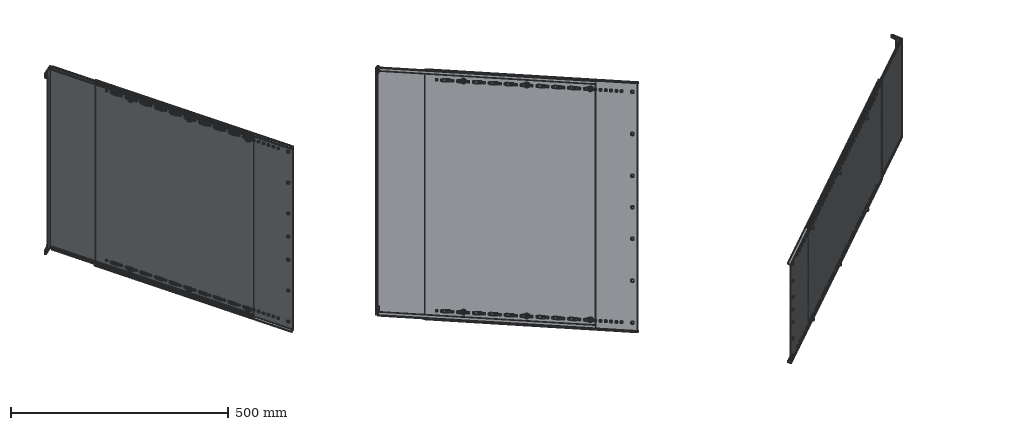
import cadquery as cq
LENGTH = 620.0
DEPTH = 36.0
HEIGHT = 594.5
LEFT_X = -LENGTH / 2
RIGHT_X = LENGTH / 2
BACK_Y = DEPTH / 2
TIP_Y = -DEPTH / 2

SHEET = 1.5

REAR_LENGTH = 504.0
REAR_DEPTH = 8.5
STUD_END = 6.5
REAR_BACK_Y = BACK_Y - STUD_END
REAR_LEFT_X = RIGHT_X - REAR_LENGTH

FRONT_LENGTH = 520.0
FRONT_DEPTH = 4.0
FRONT_BACK_Y = REAR_BACK_Y - SHEET
FRONT_FACE_Y = FRONT_BACK_Y - SHEET
FRONT_HEIGHT = HEIGHT - 2 * SHEET
HEM_WIDTH = 8.5
HEM_START = 5.5
FLANGE_DEPTH = 16.0
FLANGE_HEIGHT = 587.5
FLANGE_EDGE_Y = FRONT_BACK_Y - FLANGE_DEPTH

HOOK_HEIGHT = 15.5
HOOK_ROUND = 4.0
HOOK_INNER_ROUND = 5.0
HOOK_HOLE = 5.5
HOOK_HOLE_TO_TIP = 8.0
HOOK_HOLE_Z = 286.0
SLIT_WIDTH = 2.0

ROW_Z = 275.0
HOLE_DIAMETER = 5.25
HOLE_COUNT = 36
HOLE_ROW_LENGTH = 437.5
LAST_HOLE_X = 272.0
HOLE_PITCH = HOLE_ROW_LENGTH / (HOLE_COUNT - 1)
HOLES_PER_SLOT = 3
LAST_SLOT_HOLE = 6
SLOT_COUNT = 10
SLOT_LENGTH = 20.0
SLOT_WIDTH = 7.0
SLOT_OFFSET = 2.5

EDGE_HOLE_DIAMETER = 7.0
EDGE_HOLE_X = RIGHT_X - 12.5
EDGE_HOLE_HEIGHTS = [0, 75.0, 175.0, ROW_Z]

STUD_HEX = 11.0
STUD_HEX_THICKNESS = 4.0
STUD_HEX_FACE = 10.0
CORNER_CHAMFER = 1.55
STUD_END_CHAMFER = 0.5
STUD_TIP = 1.0
STUDS_PER_ROW = 3
SLOTS_PER_STUD = 4


def hole_x(number):
    """X of an adjustment hole, counted from the right starting at 0."""
    return LAST_HOLE_X - number * HOLE_PITCH


def box(x_range, y_range, z_range):
    """Axis-aligned block between the given limits."""
    (x0, x1), (y0, y1), (z0, z1) = x_range, y_range, z_range
    return cq.Workplane("XY").box(x1 - x0, y1 - y0, z1 - z0, centered=False).translate((x0, y0, z0))


def channel(x_range, back_y, depth, height):
    """Sheet web lying in XZ with forward lips along its top and bottom edges."""
    half = height / 2
    y_range = (back_y - depth, back_y)
    outside = box(x_range, y_range, (-half, half))
    hollow = box(x_range, (y_range[0] - SHEET, back_y - SHEET), (SHEET - half, half - SHEET))
    return outside.cut(hollow)


def drill(diameter, points):
    """Cutters along Y through both panels at the given (x, z) points."""
    return cq.Workplane("XZ", origin=(0, BACK_Y, 0)).pushPoints(points).circle(diameter / 2).extrude(DEPTH)


def make_rear_panel():
    panel = channel((REAR_LEFT_X, RIGHT_X), REAR_BACK_Y, REAR_DEPTH, HEIGHT)
    row_points = [(hole_x(n), side * ROW_Z) for n in range(HOLE_COUNT) for side in (-1, 1)]
    edge_points = [(EDGE_HOLE_X, z) for z in EDGE_HOLE_HEIGHTS]
    edge_points += [(EDGE_HOLE_X, -z) for z in EDGE_HOLE_HEIGHTS if z > 0]
    return panel.cut(drill(HOLE_DIAMETER, row_points)).cut(drill(EDGE_HOLE_DIAMETER, edge_points))


def make_hook():
    """Upper hook tab in the flange plane, with its keyhole opening at the tip."""
    top_z = FLANGE_HEIGHT / 2
    x_range = (LEFT_X, LEFT_X + SHEET)
    hook = box(x_range, (TIP_Y, FRONT_FACE_Y), (top_z - HOOK_HEIGHT, top_z))
    hook = hook.edges("|X and <Y").fillet(HOOK_ROUND)
    hole_y = TIP_Y + HOOK_HOLE_TO_TIP
    hole = (
        cq.Workplane("YZ", origin=(LEFT_X, hole_y, HOOK_HOLE_Z)).circle(HOOK_HOLE / 2).extrude(SHEET)
    )
    half_slit = SLIT_WIDTH / 2
    slit = box(x_range, (TIP_Y, hole_y), (HOOK_HOLE_Z - half_slit, HOOK_HOLE_Z + half_slit))
    return hook.cut(hole).cut(slit)


def make_end_flange():
    """Flange at the left end with a hook at the top and at the bottom."""
    half = FLANGE_HEIGHT / 2
    x_range = (LEFT_X, LEFT_X + SHEET)
    flange = box(x_range, (FLANGE_EDGE_Y, FRONT_BACK_Y), (-half, half))
    hook = make_hook()
    flange = flange.union(hook).union(hook.mirror("XY"))
    inner_corners = cq.selectors.BoxSelector(
        (LEFT_X - SHEET, FLANGE_EDGE_Y - SHEET, -half + HOOK_HEIGHT / 2),
        (LEFT_X + 2 * SHEET, FLANGE_EDGE_Y + SHEET, half - HOOK_HEIGHT / 2),
    )
    return flange.edges("|X").edges(inner_corners).fillet(HOOK_INNER_ROUND)


def make_front_panel():
    hem_start_x = LEFT_X + HEM_START
    x_range = (hem_start_x, LEFT_X + FRONT_LENGTH)
    panel = channel(x_range, FRONT_BACK_Y, FRONT_DEPTH, FRONT_HEIGHT)

    hem_face_y = FRONT_BACK_Y - FRONT_DEPTH
    half = FRONT_HEIGHT / 2
    hem = box(x_range, (hem_face_y, hem_face_y + SHEET), (half - HEM_WIDTH, half))
    panel = panel.union(hem).union(hem.mirror("XY"))

    half_flange = FLANGE_HEIGHT / 2
    end_web = box((LEFT_X, hem_start_x), (FRONT_FACE_Y, FRONT_BACK_Y), (-half_flange, half_flange))
    panel = panel.union(end_web).union(make_end_flange())

    slot_points = [
        (hole_x(LAST_SLOT_HOLE + HOLES_PER_SLOT * n) - SLOT_OFFSET, side * ROW_Z)
        for n in range(SLOT_COUNT)
        for side in (-1, 1)
    ]
    slots = (
        cq.Workplane("XZ", origin=(0, BACK_Y, 0))
        .pushPoints(slot_points)
        .slot2D(SLOT_LENGTH, SLOT_WIDTH)
        .extrude(DEPTH)
    )
    return panel.cut(slots)


def make_stud(x, z):
    """Shank through both panels, its hexagon bearing on the front panel."""
    shank_length = STUD_END + 2 * SHEET + STUD_HEX_THICKNESS + STUD_TIP
    shank = cq.Workplane("XZ", origin=(x, BACK_Y, z)).circle(HOLE_DIAMETER / 2).extrude(shank_length)
    shank = shank.faces(">Y").chamfer(STUD_END_CHAMFER)
    seat = cq.Workplane("XZ", origin=(x, FRONT_FACE_Y, z))
    hexagon = seat.polygon(6, STUD_HEX, circumscribed=True).extrude(STUD_HEX_THICKNESS)
    blank = seat.circle(STUD_HEX_FACE / 2 + CORNER_CHAMFER).extrude(STUD_HEX_THICKNESS)
    hexagon = hexagon.intersect(blank.faces("<Y").chamfer(CORNER_CHAMFER))
    return shank.union(hexagon)


rear_panel = make_rear_panel()
front_panel = make_front_panel()
studs = [
    make_stud(hole_x(LAST_SLOT_HOLE + HOLES_PER_SLOT * SLOTS_PER_STUD * n), side * ROW_Z)
    for n in range(STUDS_PER_ROW)
    for side in (-1, 1)
]

result = cq.Compound.makeCompound(
    [rear_panel.val(), front_panel.val(), *[stud.val() for stud in studs]]
)